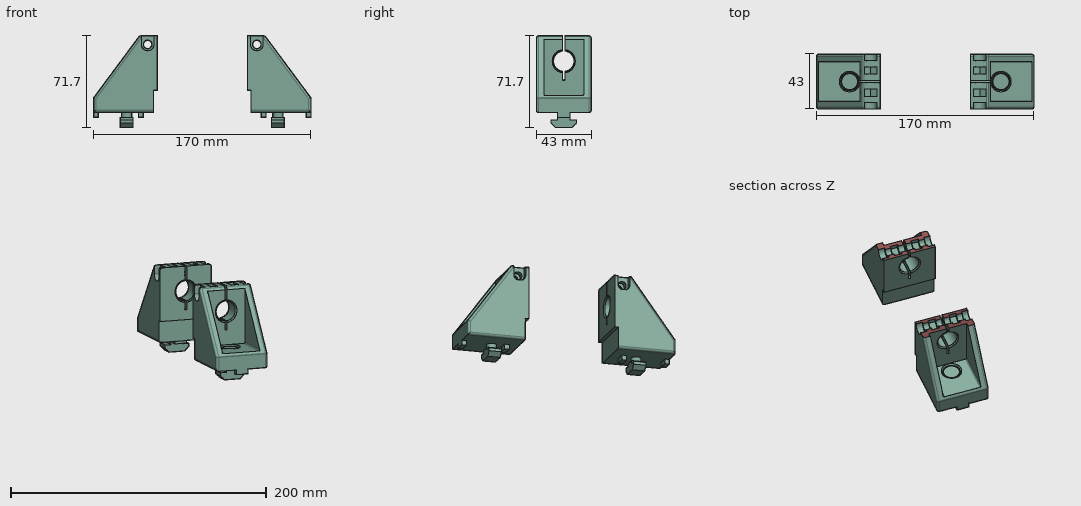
import cadquery as cq
import math


pick_margin = 0.2

overall_length = 170.0

depth = 49.8
width = 43.0
height = 60.0
foot_depth = 47.0
step_height = 17.3
toe_height = 11.4
slope_top_x = 36.0
edge_radius = 1.9
toe_radius = 0.8

pocket_width = 31.3
floor_height = 13.5
clamp_wall_x = 34.0
floor_edge_radius = 0.8

bore_radius = 8.0
bore_height = 40.1
bore_chamfer = 1.0
slit_width = 1.7
slit_bottom = 25.2

screw_x = 42.3
screw_height = 53.2
screw_hole_radius = 3.2
head_recess_radius = 5.0
head_recess_depth = 5.1
nut_flats = 9.9
nut_slot_inner_y = 5.8
nut_slot_outer_y = 11.5

mount_x = 25.8
shank_radius = 4.0
head_radius = 6.3
head_height = 8.0
counterbore_radius = 7.0
counterbore_chamfer = 1.0
head_top = floor_height - counterbore_chamfer
head_seat = head_top - head_height
key_width = 9.9
tab_drop = 3.7
tab_spans = [(0.0, 3.7), (35.0, 39.0)]
nut_length = 10.2
nut_shoulder = 5.8
nut_taper_start = 8.2
nut_bottom = 11.7
nut_half_width = 10.0


def outer_block():
    profile = [
        (0, 0),
        (foot_depth, 0),
        (foot_depth, step_height),
        (depth, step_height),
        (depth, height),
        (slope_top_x, height),
        (0, toe_height),
    ]
    block = cq.Workplane("XZ").polyline(profile).close().extrude(width / 2, both=True)
    for x, z, radius in [(slope_top_x, height, edge_radius), (0, toe_height, toe_radius)]:
        corner = cq.selectors.BoxSelector(
            (x - pick_margin, -width, z - pick_margin),
            (x + pick_margin, width, z + pick_margin),
        )
        block = block.edges(corner).fillet(radius)
    front_part = cq.selectors.BoxSelector(
        (-pick_margin, -width, -pick_margin),
        (foot_depth - pick_margin, width, height + pick_margin),
    )
    return block.faces("<Y or >Y").edges().edges(front_part).fillet(edge_radius)


def pocket():
    block = (
        cq.Workplane("XY")
        .box(2 * clamp_wall_x, pocket_width, height, centered=(True, True, False))
        .translate((0, 0, floor_height))
    )
    return block.edges("|X and <Z").fillet(floor_edge_radius)


def shaft_bore():
    rim_radius = bore_radius + bore_chamfer
    profile = [
        (clamp_wall_x, 0),
        (clamp_wall_x, rim_radius),
        (clamp_wall_x + bore_chamfer, bore_radius),
        (depth - bore_chamfer, bore_radius),
        (depth, rim_radius),
        (depth, 0),
    ]
    bore = cq.Workplane("XY").polyline(profile).close().revolve(360, (0, 0), (1, 0))
    return bore.translate((0, 0, bore_height))


def clamp_slit():
    half = slit_width / 2
    slit = (
        cq.Workplane("YZ")
        .moveTo(-half, height).lineTo(-half, slit_bottom + half)
        .threePointArc((0, slit_bottom), (half, slit_bottom + half))
        .lineTo(half, height).close()
        .extrude(depth)
    )
    return slit


def clamp_screw_cuts():
    plane = cq.Workplane("XZ", origin=(screw_x, 0, screw_height))
    rise = height - screw_height
    cuts = plane.circle(screw_hole_radius).extrude(width, both=True)

    r = head_recess_radius
    recess = (
        plane.moveTo(-r, rise).lineTo(-r, 0).threePointArc((0, -r), (r, 0)).lineTo(r, rise).close()
        .extrude(head_recess_depth).translate((0, width / 2, 0))
    )

    half = nut_flats / 2
    flat_end = half * math.tan(math.radians(30))
    nut_slot = (
        plane
        .polyline([(-half, rise), (-half, -flat_end), (0, -2 * flat_end), (half, -flat_end), (half, rise)])
        .close().extrude(nut_slot_outer_y - nut_slot_inner_y).translate((0, nut_slot_outer_y, 0))
    )
    for cut in (recess, nut_slot):
        cuts = cuts.union(cut).union(cut.mirror("XZ"))
    return cuts


def counterbore():
    rim_radius = counterbore_radius + counterbore_chamfer
    profile = [
        (0, head_seat),
        (counterbore_radius, head_seat),
        (counterbore_radius, head_top),
        (rim_radius, floor_height),
        (0, floor_height),
    ]
    bore = cq.Workplane("XZ").polyline(profile).close().revolve(360, (0, 0), (0, 1))
    return bore.translate((mount_x, 0, 0))


def mounting_screw():
    head = cq.Workplane("XY", origin=(mount_x, 0, head_seat)).circle(head_radius).extrude(head_height)
    shank = (
        cq.Workplane("XY", origin=(mount_x, 0, -nut_shoulder))
        .circle(shank_radius).extrude(nut_shoulder + head_seat)
    )
    return head.union(shank)


def slot_nut():
    neck = key_width / 2
    tip = nut_half_width - (nut_bottom - nut_taper_start)
    right_side = [
        (neck, -tab_drop),
        (neck, -nut_shoulder),
        (nut_half_width, -nut_shoulder),
        (nut_half_width, -nut_taper_start),
        (tip, -nut_bottom),
    ]
    left_side = [(-y, z) for y, z in reversed(right_side)]
    return (
        cq.Workplane("YZ").polyline(right_side + left_side).close()
        .extrude(nut_length / 2, both=True).translate((mount_x, 0, 0))
    )


def tab(start, end):
    return (
        cq.Workplane("XY")
        .box(end - start, key_width, tab_drop, centered=(False, True, False))
        .translate((start, 0, -tab_drop))
    )


def make_bracket():
    body = outer_block().cut(pocket()).cut(shaft_bore()).cut(clamp_slit()).cut(clamp_screw_cuts())
    body = body.cut(counterbore()).union(mounting_screw()).union(slot_nut())
    for start, end in tab_spans:
        body = body.union(tab(start, end))
    return body


brackets = []
for turn in (0, 180):
    placed = make_bracket().translate((-overall_length / 2, 0, 0)).rotate((0, 0, 0), (0, 0, 1), turn)
    brackets.append(placed)

result = cq.Compound.makeCompound([bracket.val() for bracket in brackets])